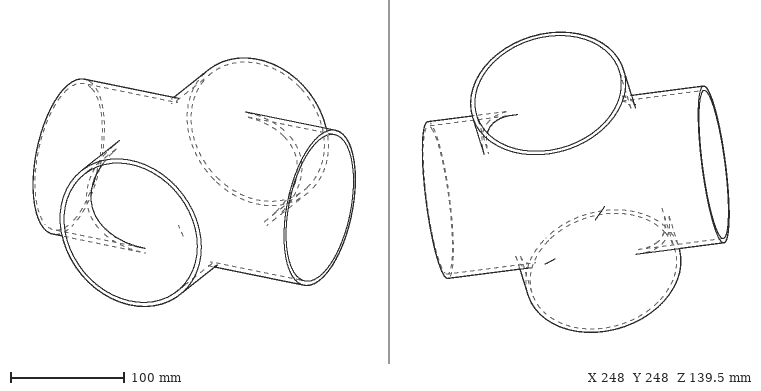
import cadquery as cq

length = 248.0
outer_diameter = 139.5
bore_diameter = 131.7
outer_corner_radius = 3.0

wall = (outer_diameter - bore_diameter) / 2
inner_corner_radius = outer_corner_radius + wall


def through_cylinder(section_plane, diameter):
    """Cylinder of the full part length, centred on the origin."""
    return cq.Workplane(section_plane).circle(diameter / 2).extrude(length / 2, both=True)


def rounded_cross(diameter, corner_radius):
    """Two equal crossing cylinders along X and Y with their meeting edges rounded."""
    cross = through_cylinder("YZ", diameter).union(through_cylinder("XZ", diameter))
    return cross.edges("%ELLIPSE").fillet(corner_radius)


outer_body = rounded_cross(outer_diameter, outer_corner_radius)
bore = rounded_cross(bore_diameter, inner_corner_radius)

result = outer_body.cut(bore)